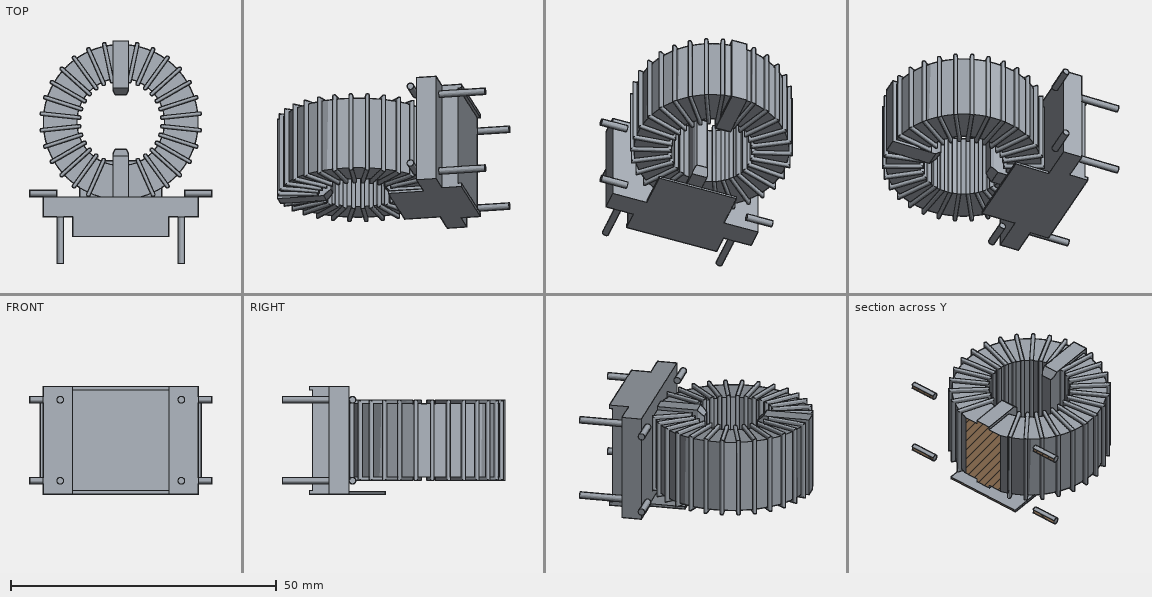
import cadquery as cq
import math


core_outer_radius = 14.6
core_inner_radius = 8.2
core_height = 13.85

wire_height = 0.65
wire_width = 0.7
wire_edge_radius = 0.3
turn_pitch_angle = 12.0
first_turn_angle = turn_pitch_angle / 2
turns_above_x_axis = 7
turns_below_x_axis = 6

coil_outer_radius = core_outer_radius + wire_height
coil_inner_radius = core_inner_radius - wire_height
coil_height = core_height + 2 * wire_height

spacer_width = 2.98
spacer_tip_radius = 5.1
spacer_tip_width = 2.05
spacer_taper_length = 1.3

base_width = 2 * core_outer_radius
base_height = 20.33
base_top = -14.1
base_flange_thickness = 3.77
pedestal_width = 18.1
pedestal_thickness = 3.15
lip_depth = 0.6
lip_height = 0.7
base_bottom = base_top - base_flange_thickness
pedestal_bottom = base_bottom - pedestal_thickness

plate_width = 15.5
plate_length = 6.8
plate_thickness = 0.5

pin_diameter = 1.25
pin_spacing_x = 22.8
pin_spacing_z = 15.25
overall_length = 41.9
overall_width = 34.3
pin_tip = coil_outer_radius - overall_length
pin_length = base_bottom - pin_tip
terminal_inner_x = (pin_spacing_x + pin_diameter) / 2
terminal_length = overall_width / 2 - terminal_inner_x
terminal_y = base_top + pin_diameter / 2


def box_between(width, y_low, y_high, z_low, z_high):
    """Box centred on X = 0 between the given Y and Z limits."""
    box = cq.Workplane("XY").box(width, y_high - y_low, z_high - z_low, centered=(True, False, False))
    return box.translate((0, y_low, z_low))


def make_core():
    ring = cq.Workplane("XY").circle(core_outer_radius).circle(core_inner_radius)
    return ring.extrude(core_height / 2, both=True)


def make_turn(angle):
    """One turn of wire around the core; its middle lies inside the core."""
    radial_length = coil_outer_radius - coil_inner_radius
    mid_radius = (coil_outer_radius + coil_inner_radius) / 2
    turn = cq.Workplane("XY").box(radial_length, wire_width, coil_height)
    turn = turn.faces("<Y or >Y").edges().fillet(wire_edge_radius)
    return turn.translate((mid_radius, 0, 0)).rotate((0, 0, 0), (0, 0, 1), angle)


def turn_angles():
    """Angles of all turns; the lower end is left free next to the base."""
    angles = []
    for step in range(-turns_below_x_axis, turns_above_x_axis):
        angle = first_turn_angle + step * turn_pitch_angle
        angles.extend([angle, 180 - angle])
    return angles


def make_spacer(outer_y):
    """Spacer from the tip out to outer_y on the +Y side, tip tapered on all four sides."""
    half_width = spacer_width / 2
    half_tip = spacer_tip_width / 2
    half_height = coil_height / 2
    taper_start = spacer_tip_radius + spacer_taper_length

    inset = half_width - half_tip
    arc_radius = (inset**2 + spacer_taper_length**2) / (2 * inset)
    half_sweep = math.asin(spacer_taper_length / arc_radius) / 2
    arc_mid_x = half_width - arc_radius * (1 - math.cos(half_sweep))
    arc_mid_y = taper_start - arc_radius * math.sin(half_sweep)
    plan = (
        cq.Workplane("XY")
        .moveTo(half_width, outer_y)
        .lineTo(half_width, taper_start)
        .threePointArc((arc_mid_x, arc_mid_y), (half_tip, spacer_tip_radius))
        .lineTo(-half_tip, spacer_tip_radius)
        .threePointArc((-arc_mid_x, arc_mid_y), (-half_width, taper_start))
        .lineTo(-half_width, outer_y)
        .close()
        .extrude(half_height, both=True)
    )

    slope_end = half_height - spacer_taper_length
    side = (
        cq.Workplane("YZ")
        .polyline([
            (outer_y, half_height),
            (taper_start, half_height),
            (spacer_tip_radius, slope_end),
            (spacer_tip_radius, -slope_end),
            (taper_start, -half_height),
            (outer_y, -half_height),
        ])
        .close()
        .extrude(spacer_width, both=True)
    )
    return plan.intersect(side)


def make_base():
    half_height = base_height / 2
    flange = box_between(base_width, base_bottom, base_top, -half_height, half_height)
    pedestal = box_between(pedestal_width, pedestal_bottom, base_bottom, -half_height, half_height)
    base = flange.union(pedestal)

    lip_bottom = pedestal_bottom - lip_depth
    for z_low in (-half_height, half_height - lip_height):
        base = base.union(box_between(pedestal_width, lip_bottom, pedestal_bottom, z_low, z_low + lip_height))

    plate_z_top = -half_height + plate_thickness
    plate = box_between(plate_width, base_top, base_top + plate_length, -half_height, plate_z_top)
    return base.union(plate)


def make_pins():
    """Four solder pins pointing down from the base flange."""
    return (
        cq.Workplane("XZ", origin=(0, base_bottom, 0))
        .rarray(pin_spacing_x, pin_spacing_z, 2, 2)
        .circle(pin_diameter / 2)
        .extrude(pin_length)
    )


def make_choke():
    choke = make_core()
    for angle in turn_angles():
        choke = choke.union(make_turn(angle))
    top_spacer = make_spacer(coil_outer_radius)
    base_spacer = make_spacer(-base_top).mirror("XZ")
    choke = choke.union(top_spacer).union(base_spacer)
    return choke.union(make_base()).union(make_pins())


def make_terminal(side, z):
    """Terminal rod resting on the base, side is -1 or 1 along X."""
    rod = cq.Workplane("YZ").circle(pin_diameter / 2).extrude(side * terminal_length)
    return rod.translate((side * terminal_inner_x, terminal_y, z))


choke = make_choke()

terminals = []
for side in (-1, 1):
    for z in (-pin_spacing_z / 2, pin_spacing_z / 2):
        terminals.append(make_terminal(side, z).val())

result = cq.Compound.makeCompound([choke.solids().val(), *terminals])